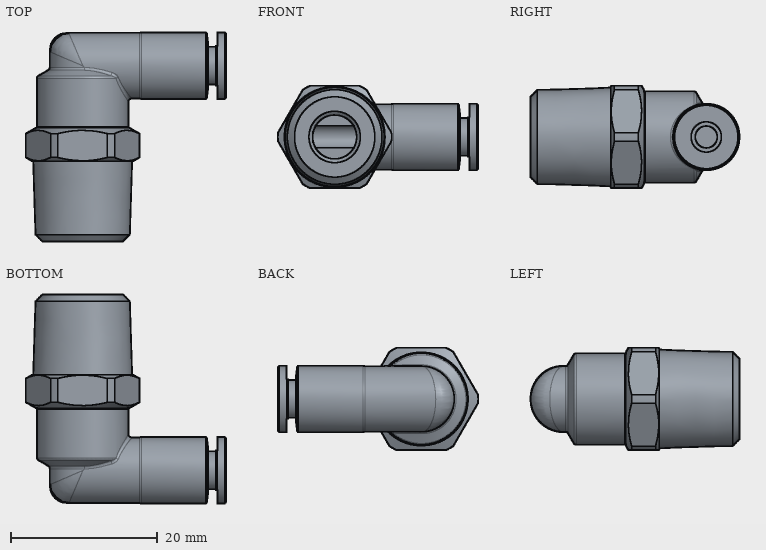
import cadquery as cq
import math

CHAMFER_ANGLE = math.radians(30)

thread_tip_radius = 5.48
thread_chamfer = 0.97
thread_start_radius = thread_tip_radius + thread_chamfer
thread_taper_per_side = 1 / 32

hex_bottom = 10.95
hex_top = 15.53
hex_across_flats = 14.0
hex_corner_radius = 7.77
hex_bottom_chamfer = 0.5
hex_top_chamfer = 0.8

body_radius = 12.5 / 2
gap_size = 0.1
body_bottom = hex_top + gap_size
body_edge_y = 22.53
body_edge_round = 0.43
gap_radius = body_radius - gap_size
elbow_join_fillet = 0.43

elbow_radius = 9.0 / 2
corner_slope = 0.43
arm_radius = 9.1 / 2
arm_axis_y = 28.55 - arm_radius
elbow_end_x = 7.75
arm_start_x = 8.0
arm_end_x = 16.95
arm_edge_chamfer = 0.17
arm_cone_end_x = 17.13
arm_cone_end_radius = 3.0

neck_radius = 5.2 / 2
neck_shoulder_radius = 2.7
neck_shoulder_x = 18.2
collar_start_x = 18.4
collar_end_x = 19.59
collar_chamfer = 0.23

stem_bore_radius = 6 / 2
stem_bore_chamfer = 0.5
cross_bore_radius = 3.0 / 2
tube_bore_radius = 4.15 / 2
tube_stop_x = arm_start_x


def revolve_stem(profile):
    """Turn (radius, y) points about the stem axis."""
    return cq.Workplane("XY").polyline(profile).close().revolve(360, (0, 0, 0), (0, 1, 0))


def revolve_arm(profile):
    """Turn (x, radius) points about the arm axis."""
    turned = cq.Workplane("XY").polyline(profile).close().revolve(360, (0, 0, 0), (1, 0, 0))
    return turned.translate((0, arm_axis_y, 0))


def stem_cylinder(radius, start, end):
    return revolve_stem([(0, start), (radius, start), (radius, end), (0, end)])


def arm_cylinder(radius, start, end):
    return revolve_arm([(start, 0), (start, radius), (end, radius), (end, 0)])


def elbow_block(points):
    """Full-height block over (x, y) points measured from the crossing of the two axes."""
    block = cq.Workplane("XY").polyline(points).close().extrude(2 * elbow_radius, both=True)
    return block.translate((0, arm_axis_y, 0))


def make_elbow():
    """Two equal cylinders joined by a wedge of an ellipsoid that is tangent to both.

    The wedge meets each cylinder on a plane tilted by corner_slope from square.
    """
    reach = 3 * elbow_radius
    offset = reach * corner_slope
    arm_side = [(-offset, reach), (offset, -reach), (reach, -reach), (reach, reach)]
    stem_side = [(-reach, offset), (reach, -offset), (reach, -reach), (-reach, -reach)]

    long_scale = math.sqrt(1 + corner_slope)
    short_scale = math.sqrt(1 - corner_slope)
    stretch = cq.Matrix([[short_scale, 0, 0, 0], [0, long_scale, 0, 0], [0, 0, 1, 0]])
    half_tangent = (1 - corner_slope) / (1 + corner_slope) * long_scale / short_scale
    half_angle = math.degrees(math.atan(half_tangent))
    wedge = cq.Solid.makeSphere(
        elbow_radius, angleDegrees1=-90, angleDegrees2=90, angleDegrees3=2 * half_angle
    )
    wedge = wedge.rotate(cq.Vector(0, 0, 0), cq.Vector(0, 0, 1), 90 - half_angle)
    wedge = wedge.transformGeometry(stretch).rotate(cq.Vector(0, 0, 0), cq.Vector(0, 0, 1), 45)
    wedge = wedge.translate(cq.Vector(0, arm_axis_y, 0))

    arm_leg = arm_cylinder(elbow_radius, -reach, elbow_end_x)
    arm_leg = arm_leg.intersect(elbow_block(arm_side))
    stem_leg = stem_cylinder(elbow_radius, body_bottom, arm_axis_y + reach)
    stem_leg = stem_leg.intersect(elbow_block(stem_side))
    return arm_leg.union(stem_leg).union(cq.Workplane(wedge))


def make_body():
    """Cylinder with a conical shoulder that rises to the elbow."""
    cone_top = body_edge_y + body_radius * math.tan(CHAMFER_ANGLE)
    body = revolve_stem(
        [(0, body_bottom), (body_radius, body_bottom), (body_radius, body_edge_y), (0, cone_top)]
    )
    return body.edges("%CIRCLE").edges(">Y").fillet(body_edge_round)


def make_hexagon():
    """Hexagon with corners along X, trimmed by a turned, chamfered envelope."""
    prism = (
        cq.Workplane("XZ", origin=(0, hex_bottom, 0))
        .polygon(6, hex_across_flats / math.cos(math.radians(30)))
        .extrude(hex_bottom - hex_top)
    )
    envelope = revolve_stem(
        [
            (0, hex_bottom),
            (hex_corner_radius - hex_bottom_chamfer / math.tan(CHAMFER_ANGLE), hex_bottom),
            (hex_corner_radius, hex_bottom + hex_bottom_chamfer),
            (hex_corner_radius, hex_top - hex_top_chamfer),
            (hex_corner_radius - hex_top_chamfer / math.tan(CHAMFER_ANGLE), hex_top),
            (0, hex_top),
        ]
    )
    return prism.intersect(envelope)


def make_thread():
    end_radius = thread_start_radius + (hex_bottom - thread_chamfer) * thread_taper_per_side
    return revolve_stem(
        [
            (0, 0),
            (thread_tip_radius, 0),
            (thread_start_radius, thread_chamfer),
            (end_radius, hex_bottom),
            (0, hex_bottom),
        ]
    )


def make_arm():
    """Socket sleeve, release-collar neck and collar as one turned piece."""
    return revolve_arm(
        [
            (elbow_end_x, 0),
            (elbow_end_x, elbow_radius),
            (arm_start_x, arm_radius),
            (arm_end_x - arm_edge_chamfer, arm_radius),
            (arm_end_x, arm_radius - arm_edge_chamfer),
            (arm_cone_end_x, arm_cone_end_radius),
            (arm_cone_end_x, neck_radius),
            (neck_shoulder_x, neck_radius),
            (neck_shoulder_x, neck_shoulder_radius),
            (collar_start_x, neck_shoulder_radius),
            (collar_start_x, arm_radius),
            (collar_end_x - collar_chamfer, arm_radius),
            (collar_end_x, arm_radius - collar_chamfer),
            (collar_end_x, 0),
        ]
    )


def make_bores():
    stem_bore = revolve_stem(
        [
            (0, 0),
            (stem_bore_radius + stem_bore_chamfer, 0),
            (stem_bore_radius, stem_bore_chamfer),
            (stem_bore_radius, arm_axis_y),
            (0, arm_axis_y),
        ]
    )
    cross_bore = arm_cylinder(cross_bore_radius, -stem_bore_radius, tube_stop_x)
    tube_bore = arm_cylinder(tube_bore_radius, tube_stop_x, collar_end_x)
    return stem_bore.union(cross_bore).union(tube_bore)


def is_elbow_join(edge):
    """True for an edge that lies on the elbow's cylinders, where they leave the body."""
    tolerance = 0.0003
    for fraction in (0.3, 0.7):
        point = edge.positionAt(fraction)
        from_arm_axis = math.hypot(point.y - arm_axis_y, point.z)
        from_stem_axis = math.hypot(point.x, point.z)
        gap = min(abs(from_arm_axis - elbow_radius), abs(from_stem_axis - elbow_radius))
        beside_body = from_stem_axis < body_radius + tolerance
        below_arm_axis = body_edge_y - elbow_radius < point.y < arm_axis_y - 0.29
        if gap > tolerance or not beside_body or not below_arm_axis:
            return False
    return True


elbow = make_elbow()
housing = make_body().union(elbow)
housing = housing.edges().filter(is_elbow_join).fillet(elbow_join_fillet)
gap_ring = stem_cylinder(gap_radius, hex_top, body_bottom)
outside = housing.union(make_arm()).union(gap_ring).union(make_hexagon()).union(make_thread())
result = outside.cut(make_bores())